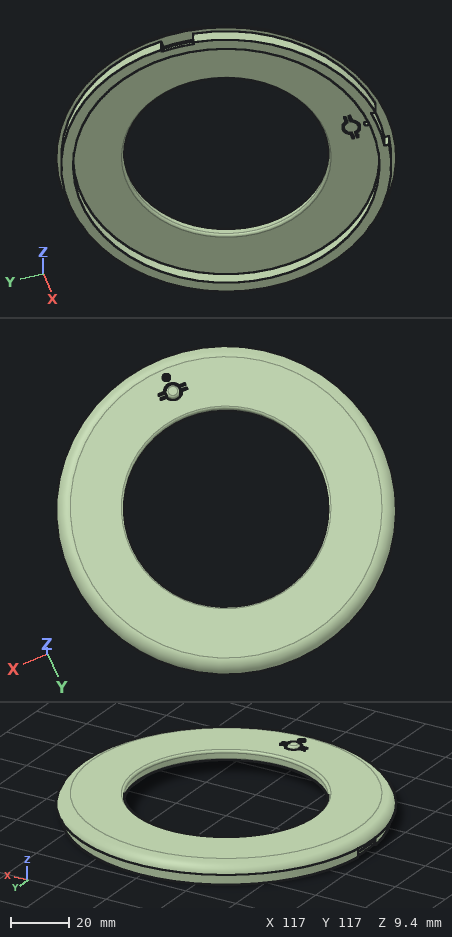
import cadquery as cq

outer_radius = 58.5
flat_radius = 53.6
edge_arc_radius = 5.1
bore_radius = 35.1
bore_rounding = 0.9
top_height = 8.5
skirt_height = 4.6
skirt_outer_radius = 56.7
skirt_inner_radius = 52.6

front_recess_width = 15.2
front_recess_radius = 55.1

pocket_width = 11.6
pocket_back_radius = 54.0
sill_height = 1.4
sill_radius = 55.9

button_y = -45.0
button_radius = 2.6
button_height = 0.9
gap_radius = 3.0
slit_reach = 4.9
slit_width = 0.6
slit_offset = 0.8

indicator_y = -50.5
indicator_radius = 0.8
countersink_radius = 1.3
countersink_depth = 0.6

plate_thickness = top_height - skirt_height


def disc(radius, bottom, height, y=0.0):
    """Upright cylinder centred on X = 0."""
    return cq.Workplane("XY", origin=(0, y, bottom)).circle(radius).extrude(height)


def box(x_range, y_range, z_range):
    """Upright block between the given limits."""
    (x0, x1), (y0, y1), (z0, z1) = x_range, y_range, z_range
    return cq.Workplane("XY").box(x1 - x0, y1 - y0, z1 - z0, centered=False).translate((x0, y0, z0))


def ring():
    """Section of plate and skirt turned about Z."""
    profile = (
        cq.Workplane("XZ")
        .moveTo(bore_radius + bore_rounding, skirt_height)
        .radiusArc((bore_radius, skirt_height + bore_rounding), bore_rounding)
        .lineTo(bore_radius, top_height - bore_rounding)
        .radiusArc((bore_radius + bore_rounding, top_height), bore_rounding)
        .lineTo(flat_radius, top_height)
        .radiusArc((outer_radius, skirt_height), edge_arc_radius)
        .lineTo(skirt_outer_radius, skirt_height)
        .lineTo(skirt_outer_radius, 0)
        .lineTo(skirt_inner_radius, 0)
        .lineTo(skirt_inner_radius, skirt_height)
        .close()
    )
    return profile.revolve(360, (0, 0, 0), (0, 1, 0))


def front_recess():
    """Shallow arc cut from the skirt on the -Y side."""
    half = front_recess_width / 2
    block = box((-half, half), (-outer_radius, 0), (0, skirt_height))
    return block.cut(disc(front_recess_radius, 0, skirt_height))


def side_pocket():
    """Blind pocket in the skirt on the -X side, with a set-back sill below it."""
    half = pocket_width / 2
    block = box((-outer_radius, 0), (-half, half), (0, skirt_height))
    sill = disc(sill_radius, 0, sill_height)
    back = disc(pocket_back_radius, 0, skirt_height)
    return block.cut(sill).cut(back)


def button_gap():
    """Ring gap and four slits that free the button, leaving an arm on each side."""
    gap = disc(gap_radius, skirt_height, plate_thickness, button_y)
    for side in (-1, 1):
        middle = button_y + side * slit_offset
        slit = box(
            (-slit_reach, slit_reach),
            (middle - slit_width / 2, middle + slit_width / 2),
            (skirt_height, top_height),
        )
        gap = gap.union(slit)
    arm_half = slit_offset - slit_width / 2
    arms = box(
        (-slit_reach, slit_reach),
        (button_y - arm_half, button_y + arm_half),
        (skirt_height, top_height),
    )
    return gap.cut(disc(button_radius, skirt_height, plate_thickness, button_y)).cut(arms)


def button_cap():
    """Raised button top whose whole side is rounded."""
    profile = (
        cq.Workplane("XZ", origin=(0, button_y, top_height))
        .lineTo(button_radius, 0)
        .radiusArc((button_radius - button_height, button_height), -button_height)
        .lineTo(0, button_height)
        .close()
    )
    return profile.revolve(360, (0, 0, 0), (0, 1, 0))


def indicator_hole():
    """Countersunk through hole."""
    countersink = (
        cq.Workplane("XY", origin=(0, indicator_y, top_height - countersink_depth))
        .circle(indicator_radius)
        .workplane(offset=countersink_depth)
        .circle(countersink_radius)
        .loft(ruled=True)
    )
    return disc(indicator_radius, skirt_height, plate_thickness, indicator_y).union(countersink)


result = ring()
result = result.cut(front_recess()).cut(side_pocket())
result = result.cut(button_gap()).union(button_cap())
result = result.cut(indicator_hole())